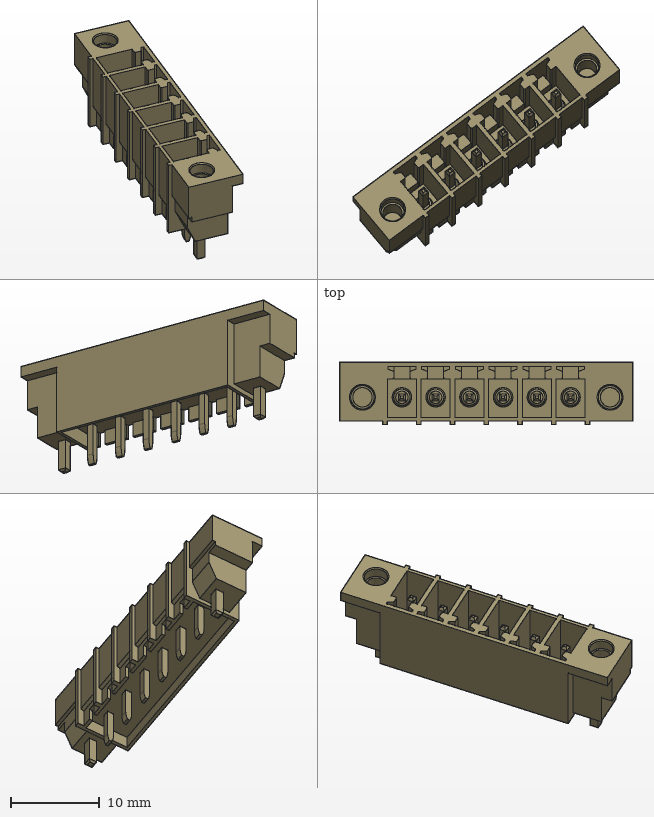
import cadquery as cq
import math


POLES = 6
PITCH = 3.8
CONTACT_X = [(i - (POLES - 1) / 2) * PITCH for i in range(POLES)]
RIB_X = [(i - POLES / 2) * PITCH for i in range(POLES + 1)]

LENGTH = 33.15
BACK_Y = 3.98
FRONT_Y = -2.7
HEIGHT = 9.28
RIB_WIDTH = 0.53
RIB_DEPTH = 0.4
CENTRE_LENGTH = POLES * PITCH + RIB_WIDTH

SETBACK = 0.4
LOWER_FRONT_Y = FRONT_Y + SETBACK
SLOPE_TOP_Z = 2.7
SLOPE_BOTTOM_Z = 2.5

FLANGE_THICKNESS = 1.3
FLANGE_OVERHANG = 1.3
END_FRONT_STEP_Z = 5.0
END_NARROW = 1.35
END_STEP_Z = 4.4
END_BOTTOM_Z = 0.6
END_SLOPE_TOP_Z = 2.8
END_SLOPE_DEPTH = 1.0

POCKET_WIDTH = 3.28
POCKET_FLOOR_Z = 3.0
FRONT_WALL = 0.4
POCKET_BACK_Y = 2.1
KEYWAY_BACK_Y = 3.48
KEYWAY_WIDTH = 3.15
KEYWAY_LIP = 0.3
KEYWAY_TAPER = 0.25
THROAT_WIDTH = 1.82
SILL_TOP_Z = 4.65
THROAT_CHAMFER = 0.13

BOSS_BASE_RADIUS = 1.1
BOSS_MID_RADIUS = 0.93
BOSS_TOP_RADIUS = 0.7
BOSS_MID_HEIGHT = 0.43
BOSS_HEIGHT = 0.6

RECESS_TOP_Z = 1.7
RECESS_WALL = 0.4
NOTCH_WIDTH = 0.9

SCREW_X = 14.0
SCREW_CHAMFER = 0.13
SCREW_RADIUS = 1.33
SCREW_STEP_DEPTH = 1.3
SCREW_LOWER_RADIUS = 1.1
SCREW_DEPTH = 3.98

TAIL_Z = -3.1
CONTACT_SIZE = 0.8
CONTACT_TOP_Z = 7.92
CONTACT_TIP_INSET = 0.23
CONTACT_TIP_HEIGHT = 0.33
TAIL_ROUND_HEIGHT = 1.1
TAIL_ROUND_INSET = 0.23
POST_X = CONTACT_X[-1] + PITCH
POST_SIZE = 1.0
POST_TOP_Z = 2.8
POST_CHAMFER = 0.23


def block(x_range, y_range, z_range):
    """Box spanning the given (low, high) ranges."""
    (x0, x1), (y0, y1), (z0, z1) = x_range, y_range, z_range
    return cq.Workplane("XY").box(x1 - x0, y1 - y0, z1 - z0, centered=False).translate((x0, y0, z0))


def around(centre, width):
    """(low, high) range of a width about a centre."""
    return centre - width / 2, centre + width / 2


def along_x(profile, length):
    """Prism along X, centred on X = 0, from a list of (y, z) points."""
    return cq.Workplane("YZ").polyline(profile).close().extrude(length / 2, both=True)


def centre_body():
    body = along_x(
        [
            (BACK_Y, 0),
            (BACK_Y, HEIGHT),
            (FRONT_Y, HEIGHT),
            (FRONT_Y, SLOPE_TOP_Z),
            (LOWER_FRONT_Y, SLOPE_BOTTOM_Z),
            (LOWER_FRONT_Y, 0),
        ],
        CENTRE_LENGTH,
    )
    for x in RIB_X:
        body = body.union(block(around(x, RIB_WIDTH), (FRONT_Y - RIB_DEPTH, LOWER_FRONT_Y), (0, HEIGHT)))
    return body


def end_blocks():
    """Both end blocks as one bar whose middle lies inside the centre body."""
    back_y = BACK_Y - FLANGE_OVERHANG
    bar = along_x(
        [
            (BACK_Y, HEIGHT),
            (FRONT_Y, HEIGHT),
            (FRONT_Y, END_FRONT_STEP_Z),
            (LOWER_FRONT_Y, END_FRONT_STEP_Z),
            (LOWER_FRONT_Y, END_SLOPE_TOP_Z),
            (LOWER_FRONT_Y + END_SLOPE_DEPTH, END_BOTTOM_Z),
            (back_y, END_BOTTOM_Z),
            (back_y, HEIGHT - FLANGE_THICKNESS),
            (BACK_Y, HEIGHT - FLANGE_THICKNESS),
        ],
        LENGTH,
    )
    upper = block(around(0, LENGTH), (FRONT_Y, BACK_Y), (END_STEP_Z, HEIGHT))
    lower = block(around(0, LENGTH - 2 * END_NARROW), (FRONT_Y, BACK_Y), (END_BOTTOM_Z, END_STEP_Z))
    return bar.intersect(upper.union(lower))


def pocket():
    """Contact pocket and its T-shaped keyway with a raised sill, for a contact at X = 0."""
    well = block(around(0, POCKET_WIDTH), (FRONT_Y + FRONT_WALL, POCKET_BACK_Y), (POCKET_FLOOR_Z, HEIGHT))
    half_key = KEYWAY_WIDTH / 2
    half_throat = THROAT_WIDTH / 2
    lip_y = KEYWAY_BACK_Y - KEYWAY_LIP
    right_side = [
        (half_throat + THROAT_CHAMFER, POCKET_BACK_Y),
        (half_throat, POCKET_BACK_Y + THROAT_CHAMFER),
        (half_throat, lip_y - KEYWAY_TAPER),
        (half_key, lip_y),
        (half_key, KEYWAY_BACK_Y),
    ]
    left_side = [(-x, y) for x, y in reversed(right_side)]
    keyway = cq.Workplane("XY").workplane(offset=POCKET_FLOOR_Z).polyline(right_side + left_side).close()
    sill = block(around(0, THROAT_WIDTH), (POCKET_BACK_Y, KEYWAY_BACK_Y), (POCKET_FLOOR_Z, SILL_TOP_Z))
    return well.union(keyway.extrude(HEIGHT - POCKET_FLOOR_Z)).cut(sill)


def boss():
    """Boss on the pocket floor, turned about the contact axis at X = 0."""
    profile = [
        (0, 0),
        (BOSS_BASE_RADIUS, 0),
        (BOSS_MID_RADIUS, BOSS_MID_HEIGHT),
        (BOSS_TOP_RADIUS, BOSS_HEIGHT),
        (0, BOSS_HEIGHT),
    ]
    turned = cq.Workplane("XZ").polyline(profile).close().revolve(360, (0, 0, 0), (0, 1, 0))
    return turned.translate((0, 0, POCKET_FLOOR_Z))


def underside_recess():
    """Recess under the whole contact row, with notches running in from the front."""
    inner_length = CENTRE_LENGTH - 2 * RECESS_WALL
    inner_y = (LOWER_FRONT_Y + RECESS_WALL, BACK_Y - RECESS_WALL)
    recess = block(around(0, inner_length), inner_y, (0, RECESS_TOP_Z))
    for x in CONTACT_X:
        recess = recess.union(block(around(x, NOTCH_WIDTH), (LOWER_FRONT_Y, 0), (0, RECESS_TOP_Z)))
    return recess


def screw_hole():
    """Chamfered, stepped blind hole, turned about the Z axis."""
    step_z = HEIGHT - SCREW_STEP_DEPTH
    floor_z = HEIGHT - SCREW_DEPTH
    profile = [
        (0, HEIGHT),
        (SCREW_RADIUS + SCREW_CHAMFER, HEIGHT),
        (SCREW_RADIUS, HEIGHT - SCREW_CHAMFER),
        (SCREW_RADIUS, step_z),
        (SCREW_LOWER_RADIUS, step_z),
        (SCREW_LOWER_RADIUS, floor_z),
        (0, floor_z),
    ]
    return cq.Workplane("XZ").polyline(profile).close().revolve(360, (0, 0, 0), (0, 1, 0))


def contact_shaft():
    return block(around(0, CONTACT_SIZE), around(0, CONTACT_SIZE), (TAIL_Z, CONTACT_TOP_Z))


def make_contact(x):
    """Square contact with a tapered upper tip and a tail rounded front and back."""
    half = CONTACT_SIZE / 2
    half_tip = half - TAIL_ROUND_INSET
    taper_z = CONTACT_TOP_Z - CONTACT_TIP_HEIGHT
    round_z = TAIL_Z + TAIL_ROUND_HEIGHT
    arc_radius = (TAIL_ROUND_HEIGHT**2 + TAIL_ROUND_INSET**2) / (2 * TAIL_ROUND_INSET)
    outline = (
        cq.Workplane("YZ")
        .moveTo(half, taper_z)
        .lineTo(-half, taper_z)
        .lineTo(-half, round_z)
        .radiusArc((-half_tip, TAIL_Z), -arc_radius)
        .lineTo(half_tip, TAIL_Z)
        .radiusArc((half, round_z), -arc_radius)
        .close()
    )
    taper_angle = math.degrees(math.atan2(CONTACT_TIP_INSET, CONTACT_TIP_HEIGHT))
    tip = (
        cq.Workplane("XY")
        .workplane(offset=taper_z)
        .rect(CONTACT_SIZE, CONTACT_SIZE)
        .extrude(CONTACT_TIP_HEIGHT, taper=taper_angle)
    )
    return outline.extrude(half, both=True).union(tip).translate((x, 0, 0))


def post_shaft(x):
    return block(around(x, POST_SIZE), around(0, POST_SIZE), (TAIL_Z, POST_TOP_Z))


def make_post(x):
    return post_shaft(x).faces("<Z").edges().chamfer(POST_CHAMFER)


def make_housing():
    housing = centre_body().union(end_blocks()).cut(underside_recess())
    for x in CONTACT_X:
        housing = housing.cut(pocket().translate((x, 0, 0)))
        housing = housing.union(boss().translate((x, 0, 0)))
        housing = housing.cut(contact_shaft().translate((x, 0, 0)))
    for side in (-1, 1):
        housing = housing.cut(screw_hole().translate((side * SCREW_X, 0, 0)))
        housing = housing.cut(post_shaft(side * POST_X))
    return housing


housing = make_housing()
contacts = [make_contact(x) for x in CONTACT_X]
posts = [make_post(side * POST_X) for side in (-1, 1)]

result = cq.Compound.makeCompound(
    [
        housing.val(),
        *[contact.val() for contact in contacts],
        *[post.val() for post in posts],
    ]
)